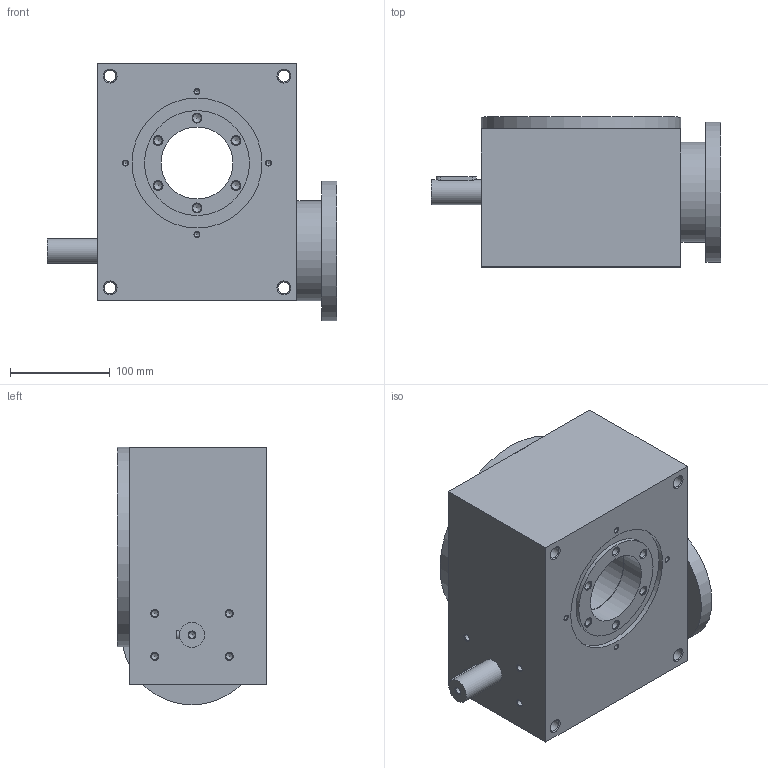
import cadquery as cq
import math


housing_width = 200.0
housing_front_y = -75.0
housing_rear_y = 63.0
housing_depth = housing_rear_y - housing_front_y
housing_top_z = 100.0
shaft_drop = 88.0
motor_boss_diameter = 100.0
housing_bottom_z = -shaft_drop - motor_boss_diameter / 2
housing_height = housing_top_z - housing_bottom_z
housing_left_x = -housing_width / 2
housing_right_x = housing_width / 2

motor_boss_length = 25.0
motor_flange_diameter = 140.0
motor_flange_thickness = 15.0

hub_diameter = 105.0
hub_flange_diameter = 200.0
hub_flange_thickness = 12.0
hub_face_setback = 1.0
hub_front_y = housing_front_y + hub_face_setback
hub_rear_y = housing_rear_y + hub_flange_thickness
bore_diameter = 72.0
bore_relief_diameter = 73.0
bore_front_length = 25.0
seal_recess_diameter = 130.0
seal_recess_depth = 5.0

shaft_diameter = 25.0
shaft_projection = 50.0
shaft_insertion = 50.0
shaft_end_x = housing_left_x - shaft_projection
key_width = 8.0
key_height = 7.0
key_length = 40.0
key_end_gap = 5.0
key_protrusion = 3.0
key_top_y = shaft_diameter / 2 + key_protrusion

m6_nominal, m6_core, m6_depth = 6.0, 4.92, 12.0
m8_nominal, m8_core, m8_depth = 8.0, 6.65, 16.0
m10_nominal, m10_core, m10_depth = 10.0, 8.38, 20.0
m14_nominal, m14_core = 14.0, 11.84
drill_tip_angle = 118.0

corner_hole_inset = 13.0
cover_circle_diameter = 143.0
cover_hole_count = 4
hub_circle_diameter = 90.0
hub_hole_count = 6
side_circle_diameter = 86.0
side_hole_angles = (30, 150, 210, 330)


def cylinder(start, direction, diameter, length):
    return cq.Workplane(
        cq.Solid.makeCylinder(diameter / 2, length, cq.Vector(*start), cq.Vector(*direction))
    )


def mouth_chamfer(nominal, core, start, direction):
    """45 degree countersink from the nominal diameter down to the core diameter."""
    depth = (nominal - core) / 2
    return cq.Workplane(
        cq.Solid.makeCone(nominal / 2, core / 2, depth, cq.Vector(*start), cq.Vector(*direction))
    )


def blind_tapped_hole(nominal, core, depth, start, direction):
    """Cutter for a drilled hole with a chamfered mouth and a conical tip."""
    tip_length = core / 2 / math.tan(math.radians(drill_tip_angle / 2))
    tip_start = cq.Vector(*start) + cq.Vector(*direction) * depth
    tip = cq.Solid.makeCone(core / 2, 0, tip_length, tip_start, cq.Vector(*direction))
    drill = cylinder(start, direction, core, depth)
    return drill.union(cq.Workplane(tip)).union(mouth_chamfer(nominal, core, start, direction))


def circle_points(y, circle_diameter, count):
    """Points in the plane at y, evenly spaced about the bore axis, the first at the top."""
    radius = circle_diameter / 2
    angles = [math.pi / 2 + 2 * math.pi * i / count for i in range(count)]
    return [(radius * math.cos(a), y, radius * math.sin(a)) for a in angles]


def make_housing():
    housing = cq.Workplane("XY").box(housing_width, housing_depth, housing_height, centered=False)
    housing = housing.translate((housing_left_x, housing_front_y, housing_bottom_z))

    boss_start = (housing_right_x, 0, -shaft_drop)
    flange_start = (housing_right_x + motor_boss_length, 0, -shaft_drop)
    housing = housing.union(cylinder(boss_start, (1, 0, 0), motor_boss_diameter, motor_boss_length))
    housing = housing.union(
        cylinder(flange_start, (1, 0, 0), motor_flange_diameter, motor_flange_thickness)
    )

    front_center = (0, housing_front_y, 0)
    housing = housing.cut(cylinder(front_center, (0, 1, 0), hub_diameter, housing_depth))
    housing = housing.cut(cylinder(front_center, (0, 1, 0), seal_recess_diameter, seal_recess_depth))
    shaft_seat_start = (housing_left_x, 0, -shaft_drop)
    housing = housing.cut(cylinder(shaft_seat_start, (1, 0, 0), shaft_diameter, shaft_insertion))

    for x in (housing_left_x + corner_hole_inset, housing_right_x - corner_hole_inset):
        for z in (housing_bottom_z + corner_hole_inset, housing_top_z - corner_hole_inset):
            mouth = (x, housing_front_y, z)
            housing = housing.cut(cylinder(mouth, (0, 1, 0), m14_core, housing_depth))
            housing = housing.cut(mouth_chamfer(m14_nominal, m14_core, mouth, (0, 1, 0)))

    for point in circle_points(housing_front_y, cover_circle_diameter, cover_hole_count):
        housing = housing.cut(blind_tapped_hole(m6_nominal, m6_core, m6_depth, point, (0, 1, 0)))

    side_radius = side_circle_diameter / 2
    for angle in side_hole_angles:
        y = side_radius * math.cos(math.radians(angle))
        z = -shaft_drop + side_radius * math.sin(math.radians(angle))
        point = (housing_left_x, y, z)
        housing = housing.cut(blind_tapped_hole(m8_nominal, m8_core, m8_depth, point, (1, 0, 0)))
    return housing


def make_output_hub():
    front_center = (0, hub_front_y, 0)
    hub = cylinder(front_center, (0, 1, 0), hub_diameter, hub_rear_y - hub_front_y)
    flange_start = (0, housing_rear_y, 0)
    hub = hub.union(cylinder(flange_start, (0, 1, 0), hub_flange_diameter, hub_flange_thickness))

    relief_y = hub_front_y + bore_front_length
    hub = hub.cut(cylinder(front_center, (0, 1, 0), bore_diameter, bore_front_length))
    hub = hub.cut(cylinder((0, relief_y, 0), (0, 1, 0), bore_relief_diameter, hub_rear_y - relief_y))

    for point in circle_points(hub_front_y, hub_circle_diameter, hub_hole_count):
        hub = hub.cut(blind_tapped_hole(m10_nominal, m10_core, m10_depth, point, (0, 1, 0)))
    return hub


def make_input_shaft():
    shaft_end = (shaft_end_x, 0, -shaft_drop)
    shaft = cylinder(shaft_end, (1, 0, 0), shaft_diameter, shaft_projection + shaft_insertion)

    key_center_x = shaft_end_x + key_end_gap + key_length / 2
    key = cq.Workplane("XZ").slot2D(key_length, key_width).extrude(key_height)
    shaft = shaft.union(key.translate((key_center_x, key_top_y, -shaft_drop)))

    return shaft.cut(blind_tapped_hole(m8_nominal, m8_core, m8_depth, shaft_end, (1, 0, 0)))


housing = make_housing()
output_hub = make_output_hub()
input_shaft = make_input_shaft()

bodies = [housing, output_hub, input_shaft]
result = cq.Compound.makeCompound([body.solids().val() for body in bodies])